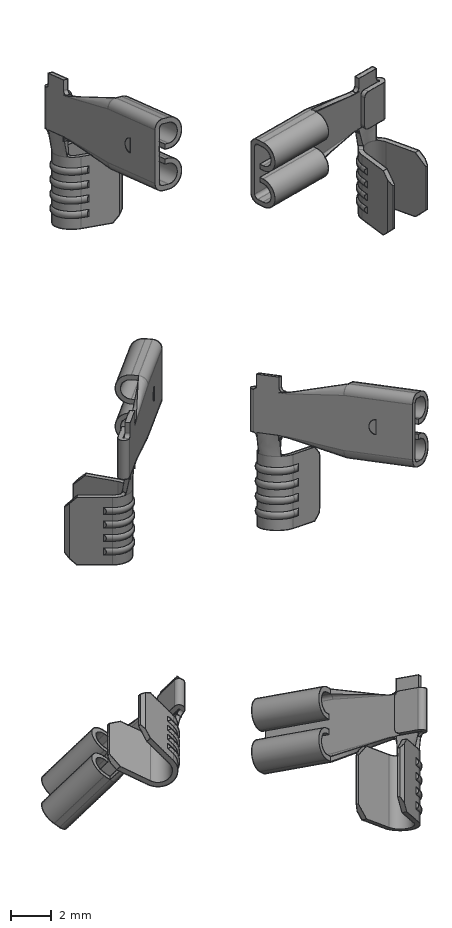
import cadquery as cq
import math


sheet = 0.27
height = 7.87

barrel_height = 3.78
barrel_radius = 0.985
arm_flare = math.radians(10)
arm_top = 3.18
bevel_start = 2.92
bevel_inset = 0.10
arm_corner = 0.62

ridge_count = 4
ridge_pitch = 0.757
ridge_rise = 0.09
ridge_half_width = 0.19
ridge_end = 1.25
ridge_ramp = 0.13

neck_half = 0.63
tab_bottom = 4.9
tab_notch = 7.09
corner_radius = 0.20
neck_foot_radius = 0.13
corner_root = 0.03
fold_radius = 0.295
fold_center_x = -0.79
flap_end = 0.54
flap_corner = 0.26

channel_start = 1.02
channel_half = 1.14
channel_bend = math.radians(6)

box_start = 4.23
box_end = 8.049
box_half = 1.885
box_mid = height - box_half
box_corner = 0.48
curl_radius = 0.815
curl_center_y = 0.835
curl_end = 0.62

dimple_radius = 0.38
dimple_flat_x = 6.0
dimple_depth = 0.04


def front_block(outline):
    """Extrude a closed XZ outline through the sheet, from Y = 0 to Y = sheet."""
    return outline.extrude(-sheet)


def corner_fill(corner_x, corner_z, side_x, side_z, radius):
    """XZ outline of a concave corner piece, rooted into both walls it joins.

    side_x and side_z (+1 or -1) point away from the corner.
    """
    root_x = corner_x - side_x * corner_root
    root_z = corner_z - side_z * corner_root
    end_x = corner_x + side_x * radius
    end_z = corner_z + side_z * radius
    bulge = radius * (1 - math.sqrt(0.5))
    return (
        cq.Workplane("XZ")
        .moveTo(root_x, root_z)
        .lineTo(end_x, root_z)
        .lineTo(end_x, corner_z)
        .threePointArc((corner_x + side_x * bulge, corner_z + side_z * bulge), (corner_x, end_z))
        .lineTo(root_x, end_z)
        .close()
    )


def barrel_point(radius, y=None):
    """Where the arc of this radius meets the right arm, or the arm's point at height y."""
    x = radius * math.cos(arm_flare)
    start_y = barrel_radius - radius * math.sin(arm_flare)
    if y is None:
        return x, start_y
    return x + (y - start_y) * math.tan(arm_flare), y


def barrel_section():
    """U-shaped XY outline of the barrel sheet."""
    inner_radius = barrel_radius - sheet
    outer_x, outer_y = barrel_point(barrel_radius)
    inner_x, inner_y = barrel_point(inner_radius)
    wide_x, wide_y = barrel_point(barrel_radius, bevel_start)
    tip_x = barrel_point(inner_radius, arm_top)[0]
    bevel_x = wide_x - bevel_inset
    return (
        cq.Workplane("XY")
        .moveTo(-outer_x, outer_y)
        .threePointArc((0, 0), (outer_x, outer_y))
        .lineTo(wide_x, wide_y)
        .lineTo(bevel_x, arm_top)
        .lineTo(tip_x, arm_top)
        .lineTo(inner_x, inner_y)
        .threePointArc((0, sheet), (-inner_x, inner_y))
        .lineTo(-tip_x, arm_top)
        .lineTo(-bevel_x, arm_top)
        .lineTo(-wide_x, wide_y)
        .close()
    )


def make_barrel():
    side_outline = (
        cq.Workplane("YZ")
        .polyline([
            (0, 0),
            (arm_top - arm_corner, 0),
            (arm_top, arm_corner),
            (arm_top, barrel_height - arm_corner),
            (arm_top - arm_corner, barrel_height),
            (0, barrel_height),
        ])
        .close()
        .extrude(2 * barrel_radius, both=True)
    )
    return barrel_section().extrude(barrel_height).intersect(side_outline)


def ridge_profile(plane):
    """Circular segment standing on the outer sheet face, rooted slightly into the sheet."""
    root = sheet / 3
    return (
        cq.Workplane(plane)
        .moveTo(-root, -ridge_half_width)
        .lineTo(0, -ridge_half_width)
        .threePointArc((ridge_rise, 0), (0, ridge_half_width))
        .lineTo(-root, ridge_half_width)
        .close()
    )


def make_ridge(z):
    """One ridge: a half wrapped round the arc plus a ramped straight end, then mirrored."""
    tangent_x, tangent_y = barrel_point(barrel_radius)
    outward = cq.Vector(math.cos(arm_flare), -math.sin(arm_flare), 0)
    along_arm = cq.Vector(math.sin(arm_flare), math.cos(arm_flare), 0)
    straight = (ridge_end - tangent_y) / math.cos(arm_flare)
    origin = cq.Vector(tangent_x, tangent_y, z)

    arc_plane = cq.Plane(origin=origin, xDir=outward, normal=along_arm * -1)
    arc_angle = 90 - math.degrees(arm_flare)
    wrap = ridge_profile(arc_plane).revolve(
        arc_angle, (-barrel_radius, 1, 0), (-barrel_radius, -1, 0)
    )
    bar = ridge_profile(arc_plane).extrude(-straight)
    ramp_plane = cq.Plane(origin=origin, xDir=outward, normal=outward.cross(along_arm))
    ramp_limit = (
        cq.Workplane(ramp_plane)
        .polyline([
            (-sheet, 0),
            (ridge_rise, 0),
            (ridge_rise, straight - ridge_ramp),
            (0, straight),
            (-sheet, straight),
        ])
        .close()
        .extrude(ridge_half_width, both=True)
    )
    half = wrap.union(bar.intersect(ramp_limit))
    return half.union(half.mirror("YZ"))


def neck_end(z, front_sag, back_half, back_sag):
    """Neck cross-section wire at height z, its side edges set back by the given sags."""
    return (
        cq.Workplane("XY", origin=(0, 0, z))
        .moveTo(-neck_half, front_sag)
        .threePointArc((0, 0), (neck_half, front_sag))
        .lineTo(back_half, sheet + back_sag)
        .threePointArc((0, sheet), (-back_half, sheet + back_sag))
        .close()
        .val()
    )


def make_neck():
    """Blend from the curved barrel sheet to the flat tab, with rounded corners."""
    inner_radius = barrel_radius - sheet
    edge_angle = math.asin(neck_half / barrel_radius)
    curved_share = 1 - math.cos(edge_angle)
    nearly_flat = 0.001
    neck = cq.Workplane(cq.Solid.makeLoft([
        neck_end(
            barrel_height,
            barrel_radius * curved_share,
            inner_radius * math.sin(edge_angle),
            inner_radius * curved_share,
        ),
        neck_end(tab_bottom, nearly_flat, neck_half, nearly_flat),
    ], True))

    barrel_sheet = barrel_section().extrude(height)
    axis_base = (0, barrel_radius, 0)
    axis_top = (0, barrel_radius, 1)
    for side in (-1, 1):
        foot = corner_fill(0, barrel_height, side, 1, neck_foot_radius).extrude(-barrel_radius)
        foot = foot.rotate(axis_base, axis_top, side * math.degrees(edge_angle))
        neck = neck.union(foot.intersect(barrel_sheet))
    fold_corner = corner_fill(-neck_half, tab_bottom, -1, -1, corner_radius)
    return neck.union(front_block(fold_corner))


def make_tab():
    """Flat tab, its upper corner piece and the flap folded behind it."""
    tab = front_block(
        cq.Workplane("XZ")
        .moveTo(-neck_half, tab_bottom)
        .lineTo(neck_half, tab_bottom)
        .lineTo(neck_half, height)
        .lineTo(-neck_half, height)
        .close()
    )
    tab = tab.union(front_block(corner_fill(-neck_half, tab_notch, -1, 1, corner_radius)))

    fold_back = 2 * fold_radius
    gap_radius = fold_radius - sheet
    fold = (
        cq.Workplane("XY", origin=(0, 0, tab_bottom))
        .moveTo(-neck_half, 0)
        .lineTo(fold_center_x, 0)
        .threePointArc((fold_center_x - fold_radius, fold_radius), (fold_center_x, fold_back))
        .lineTo(flap_end, fold_back)
        .lineTo(flap_end, fold_back - sheet)
        .lineTo(fold_center_x, fold_back - sheet)
        .threePointArc((fold_center_x - gap_radius, fold_radius), (fold_center_x, sheet))
        .lineTo(-neck_half, sheet)
        .close()
        .extrude(tab_notch - tab_bottom)
    )
    fold = fold.edges("|Y").edges(">X").fillet(flap_corner)
    return tab.union(fold)


def channel_section(x, half_width, bend):
    """Channel outline at x; each side curves back through the angle 'bend' at the corner radius."""
    plane = cq.Plane(origin=(x, 0, box_mid), xDir=(0, 1, 0), normal=(1, 0, 0))
    flat = half_width - box_corner * math.sin(bend)

    def corner_point(radius, angle, side):
        return box_corner - radius * math.cos(angle), side * (flat + radius * math.sin(angle))

    outer = box_corner
    inner = box_corner - sheet
    return (
        cq.Workplane(plane)
        .moveTo(0, -flat)
        .lineTo(0, flat)
        .threePointArc(corner_point(outer, bend / 2, 1), corner_point(outer, bend, 1))
        .lineTo(*corner_point(inner, bend, 1))
        .threePointArc(corner_point(inner, bend / 2, 1), (sheet, flat))
        .lineTo(sheet, -flat)
        .threePointArc(corner_point(inner, bend / 2, -1), corner_point(inner, bend, -1))
        .lineTo(*corner_point(outer, bend, -1))
        .threePointArc(corner_point(outer, bend / 2, -1), (0, -flat))
        .close()
    )


def make_channel():
    """Sheet that widens from the tab into the receptacle, with rounded corners at the tab."""
    start = channel_section(neck_half, channel_half, channel_bend).extrude(channel_start - neck_half)
    flare = cq.Solid.makeLoft([
        channel_section(channel_start, channel_half, channel_bend).val(),
        channel_section(box_start, box_half, math.pi / 2).val(),
    ], True)
    channel = start.union(cq.Workplane(flare))
    for side in (-1, 1):
        corner_z = box_mid + side * channel_half
        channel = channel.union(front_block(corner_fill(neck_half, corner_z, 1, side, corner_radius)))
    return channel


def make_receptacle():
    """Flat base whose two sides curl inward into open loops."""
    plane = cq.Plane(origin=(box_start, 0, box_mid), xDir=(0, 1, 0), normal=(1, 0, 0))
    curl_mid = box_half - curl_radius
    inner_curl = curl_radius - sheet
    inner_corner = box_corner - sheet
    flat = box_half - box_corner
    lip = box_half - 2 * curl_radius
    mid = math.sqrt(0.5)
    half = (
        cq.Workplane(plane)
        .moveTo(0, 0)
        .lineTo(0, flat)
        .threePointArc((box_corner * (1 - mid), flat + box_corner * mid), (box_corner, box_half))
        .lineTo(curl_center_y, box_half)
        .threePointArc((curl_center_y + curl_radius, curl_mid), (curl_center_y, lip))
        .lineTo(curl_end, lip)
        .lineTo(curl_end, lip + sheet)
        .lineTo(curl_center_y, lip + sheet)
        .threePointArc((curl_center_y + inner_curl, curl_mid), (curl_center_y, box_half - sheet))
        .lineTo(box_corner, box_half - sheet)
        .threePointArc((box_corner - inner_corner * mid, flat + inner_corner * mid), (sheet, flat))
        .lineTo(sheet, 0)
        .close()
        .extrude(box_end - box_start)
    )
    return half.union(half.mirror("XY", (0, 0, box_mid)))


def make_dimple():
    """Half-round recess that deepens from its round side to its straight side."""
    round_side = dimple_flat_x - dimple_radius
    wedge = (
        cq.Workplane("XY", origin=(0, 0, box_mid))
        .polyline([(round_side, 0), (dimple_flat_x, 0), (dimple_flat_x, dimple_depth)])
        .close()
        .extrude(dimple_radius, both=True)
    )
    disc = cq.Workplane("XZ").center(dimple_flat_x, box_mid).circle(dimple_radius).extrude(-sheet)
    return wedge.intersect(disc)


result = make_barrel()
for index in range(ridge_count):
    result = result.union(make_ridge((index + 1) * ridge_pitch))
for piece in (make_neck(), make_tab(), make_channel(), make_receptacle()):
    result = result.union(piece)
result = result.cut(make_dimple())